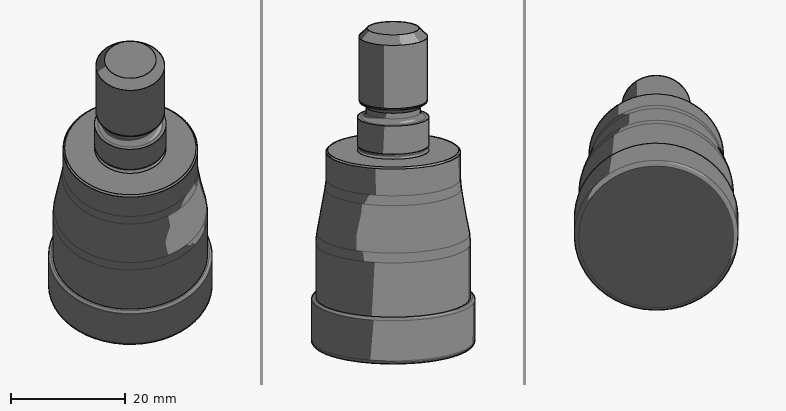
import cadquery as cq
import math

flange_radius = 28.57 / 2
flange_height = 8.45
flange_top_round = 0.45
flange_bottom_round = 0.75
barrel_radius = 13.5
taper_bottom = 19.1
taper_top = 29.0
taper_blend_radius = 10.0
cap_radius = 11.75
cap_chamfer = 0.3
housing_height = 35.0

total_height = 57.0
foot_neck_round = 0.4
foot_neck_width = 0.9
collar_radius = 6.25
foot_neck_radius = collar_radius - foot_neck_round
collar_bottom = housing_height + foot_neck_width
collar_top = 41.0
undercut_radius = 4.75
undercut_round = 0.9
undercut_cone_height = 0.85
undercut_top = 43.75
shank_radius = 6.0
shank_end_chamfer = 1.5
shank_root_chamfer_height = 0.35
shank_root_chamfer_width = 0.15


def concave_corner(radius):
    """Distance from the corner of a quarter round to the middle of its arc, along each axis."""
    return radius * (1 - math.sqrt(0.5))


def circle_at_height(height):
    """Select the circular edge centred on the axis at the given height."""
    return cq.NearestToPointSelector((0, 0, height))


def make_flange():
    flange = cq.Workplane("XY").circle(flange_radius).extrude(flange_height)
    flange = flange.edges(">Z").fillet(flange_top_round)
    return flange.edges("<Z").fillet(flange_bottom_round)


def make_barrel():
    barrel = (
        cq.Workplane("XZ")
        .lineTo(barrel_radius, 0)
        .lineTo(barrel_radius, taper_bottom)
        .lineTo(cap_radius, taper_top)
        .lineTo(cap_radius, housing_height)
        .lineTo(0, housing_height)
        .close()
        .revolve(360, (0, 0, 0), (0, 1, 0))
    )
    barrel = barrel.edges(circle_at_height(taper_bottom)).fillet(taper_blend_radius)
    barrel = barrel.edges(circle_at_height(taper_top)).fillet(taper_blend_radius)
    return barrel.edges(">Z").chamfer(cap_chamfer)


def make_housing():
    return make_flange().union(make_barrel())


def make_stud():
    foot_arc_step = concave_corner(foot_neck_round)
    undercut_outer_radius = undercut_radius + undercut_round
    undercut_arc_step = concave_corner(undercut_round)
    return (
        cq.Workplane("XZ")
        .moveTo(0, housing_height)
        .lineTo(collar_radius, housing_height)
        .threePointArc(
            (foot_neck_radius + foot_arc_step, housing_height + foot_arc_step),
            (foot_neck_radius, housing_height + foot_neck_round),
        )
        .lineTo(foot_neck_radius, collar_bottom - foot_neck_round)
        .threePointArc(
            (foot_neck_radius + foot_arc_step, collar_bottom - foot_arc_step),
            (collar_radius, collar_bottom),
        )
        .lineTo(collar_radius, collar_top)
        .lineTo(undercut_outer_radius, collar_top)
        .threePointArc(
            (undercut_radius + undercut_arc_step, collar_top + undercut_arc_step),
            (undercut_radius, collar_top + undercut_round),
        )
        .lineTo(undercut_radius, undercut_top - undercut_cone_height)
        .lineTo(undercut_radius + undercut_cone_height, undercut_top)
        .lineTo(shank_radius - shank_root_chamfer_width, undercut_top)
        .lineTo(shank_radius, undercut_top + shank_root_chamfer_height)
        .lineTo(shank_radius, total_height - shank_end_chamfer)
        .lineTo(shank_radius - shank_end_chamfer, total_height)
        .lineTo(0, total_height)
        .close()
        .revolve(360, (0, 0, 0), (0, 1, 0))
    )


housing = make_housing()
stud = make_stud()

result = cq.Compound.makeCompound([housing.val(), stud.val()])